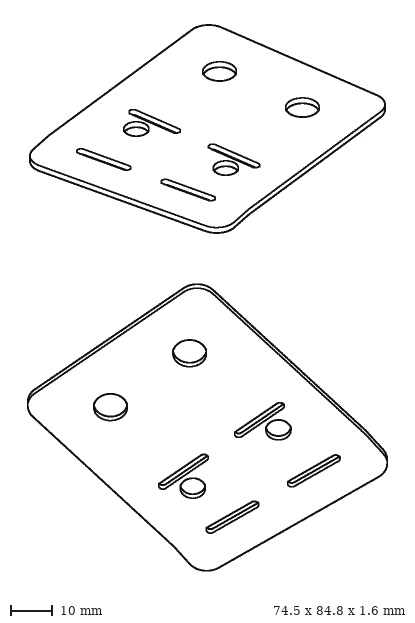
import cadquery as cq
import math

thickness = 1.6
upper_tilt = 19.5
lower_turn = 5.0
corner_radius = 5.0

upper_half_width = 28.5
top_edge = 15.0

pivot_drop = 44.2
lower_half_width = 28.6
bottom_below_pivot = 11.7

large_hole_diameter = 8.1
large_hole_spacing = 25.0
small_hole_diameter = 6.0
small_hole_spacing = 27.1
small_hole_drop = 31.5
slot_length = 15.0
slot_width = 2.0
slot_spacing = 24.0
upper_slot_drop = 26.2
lower_slot_below_pivot = 1.2

turn = math.radians(lower_turn)


def from_lower_panel(across, along):
    """Convert a point measured from the pivot in the turned lower panel."""
    return (
        across * math.cos(turn) - along * math.sin(turn),
        across * math.sin(turn) + along * math.cos(turn) - pivot_drop,
    )


def bend_point(side):
    """Meeting point of the upper and lower side edges; side is -1 or 1."""
    x = side * upper_half_width
    offset = (x * math.cos(turn) - side * lower_half_width) / math.sin(turn)
    return (x, -pivot_drop - offset)


def mirrored_pair(spacing, y):
    return [(-spacing / 2, y), (spacing / 2, y)]


def plate():
    right_bend = bend_point(1)
    left_bend = bend_point(-1)
    bottom_right = from_lower_panel(lower_half_width, -bottom_below_pivot)
    bottom_left = from_lower_panel(-lower_half_width, -bottom_below_pivot)
    top_right = (upper_half_width, top_edge)
    top_left = (-upper_half_width, top_edge)
    outline = [top_left, top_right, right_bend, bottom_right, bottom_left, left_bend]
    body = cq.Workplane("XY").polyline(outline).close().extrude(thickness)
    for x, y in (top_left, top_right, bottom_right, bottom_left):
        corner = cq.selectors.NearestToPointSelector((x, y, thickness / 2))
        body = body.edges("|Z").edges(corner).fillet(corner_radius)
    return body


def through_holes(centers, diameter):
    return cq.Workplane("XY").pushPoints(centers).circle(diameter / 2).extrude(thickness)


def through_slots(centers, angle):
    return cq.Workplane("XY").pushPoints(centers).slot2D(slot_length, slot_width, angle).extrude(thickness)


upper_slot_centers = mirrored_pair(slot_spacing, -upper_slot_drop)
lower_slot_centers = [
    from_lower_panel(across, along)
    for across, along in mirrored_pair(slot_spacing, -lower_slot_below_pivot)
]

result = (
    plate()
    .cut(through_holes(mirrored_pair(large_hole_spacing, 0), large_hole_diameter))
    .cut(through_holes(mirrored_pair(small_hole_spacing, -small_hole_drop), small_hole_diameter))
    .cut(through_slots(upper_slot_centers, 0))
    .cut(through_slots(lower_slot_centers, lower_turn))
    .rotate((0, 0, 0), (0, 0, 1), upper_tilt)
)